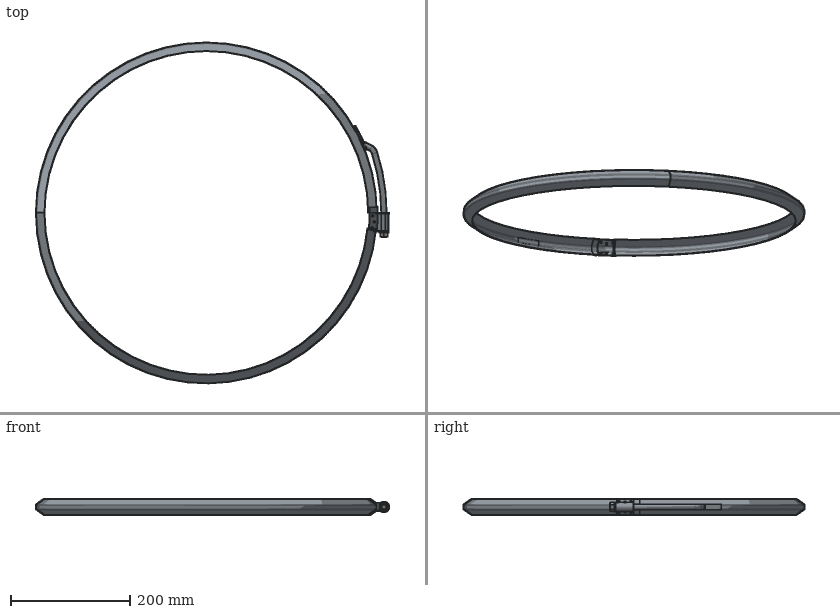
import cadquery as cq
import math

crown_radius = 286.235
ring_height = 28.24
ring_thickness = 1.2
crown_half_width = 2.7
bend_outer_radius = 2.35
bend_angle = 54.5
seam_angle = 180.0
upper_half_end_y = 0.0
lower_half_end_y = -27.0

saddle_thickness = 1.5
saddle_radius = crown_radius + saddle_thickness
saddle_bend_radius = bend_outer_radius + saddle_thickness
saddle_top_y = 10.0
saddle_bottom_y = -29.5
spot_hole_diameter = 2.5
spot_hole_places = [(279.0, -5.0), (281.7, -15.0), (278.1, -25.0)]

overall_max_x = 306.92
flange_diameter = 17.9
flange_thickness = 1.0
barrel_diameter = 16.0
barrel_x = overall_max_x - flange_diameter / 2
barrel_top_y = 0.0
barrel_bottom_y = -31.7
barrel_wall = 1.5
neck_half_height = 7.1
neck_inner_x = 281.0
window_edge_x = barrel_x + 2.0

rod_diameter = 9.5
thread_diameter = 8.0
rod_bow_radius = 330.0
rod_bow_angle = 17.8
elbow_radius = 14.0
elbow_end_angle = 62.0
stub_length = 14.0
tail_thickness = 3.5
tail_height = 9.0
tail_start_angle = 21.5
tail_end_angle = 30.4
bolt_tip_length = 0.6

nut_across_flats = 13.0
nut_thickness = 6.8
nut_chamfer_width = 2.6
nut_chamfer_height = 1.5
nut_blank_diameter = 17.0
washer_diameter = 16.5
washer_thickness = 1.8
nut_face_y = barrel_bottom_y - washer_thickness
nut_end_y = nut_face_y - nut_thickness


def on_circle(center, radius, angle):
    radians = math.radians(angle)
    return (center[0] + radius * math.cos(radians), center[1] + radius * math.sin(radians))


def mirrored(point):
    return (point[0], -point[1])


def angle_at_y(y):
    return math.degrees(math.asin(y / crown_radius))


def leg_length(bend_center, bend_radius):
    """Length of the straight leg that ends at half the ring height."""
    rise = ring_height / 2 - on_circle(bend_center, bend_radius, bend_angle)[1]
    return rise / math.cos(math.radians(bend_angle))


def v_side(bend_center, bend_radius, length):
    """Crown end, bend middle, bend end and leg tip of one side of the upper half of the V."""
    bend_end = on_circle(bend_center, bend_radius, bend_angle)
    return (
        on_circle(bend_center, bend_radius, 0),
        on_circle(bend_center, bend_radius, bend_angle / 2),
        bend_end,
        on_circle(bend_end, length, bend_angle + 90),
    )


def v_sheet_section(outer_radius, thickness, bend_radius):
    """Closed outline of the V-shaped sheet in the radius-height plane."""
    bend_center = (outer_radius - bend_radius, crown_half_width)
    length = leg_length(bend_center, bend_radius)
    outer_start, outer_mid, outer_end, outer_tip = v_side(bend_center, bend_radius, length)
    inner_start, inner_mid, inner_end, inner_tip = v_side(
        bend_center, bend_radius - thickness, length
    )
    return (
        cq.Workplane("XZ")
        .moveTo(*mirrored(outer_start))
        .lineTo(*outer_start)
        .threePointArc(outer_mid, outer_end)
        .lineTo(*outer_tip)
        .lineTo(*inner_tip)
        .lineTo(*inner_end)
        .threePointArc(inner_mid, inner_start)
        .lineTo(*mirrored(inner_start))
        .threePointArc(mirrored(inner_mid), mirrored(inner_end))
        .lineTo(*mirrored(inner_tip))
        .lineTo(*mirrored(outer_tip))
        .lineTo(*mirrored(outer_end))
        .threePointArc(mirrored(outer_mid), mirrored(outer_start))
        .close()
    )


def v_filled_section(outer_radius, bend_radius):
    """Closed outline of everything inside a V, in the radius-height plane."""
    bend_center = (outer_radius - bend_radius, crown_half_width)
    length = leg_length(bend_center, bend_radius)
    start, mid, end, tip = v_side(bend_center, bend_radius, length)
    return (
        cq.Workplane("XZ")
        .moveTo(*mirrored(start))
        .lineTo(*start)
        .threePointArc(mid, end)
        .lineTo(*tip)
        .lineTo(*mirrored(tip))
        .lineTo(*mirrored(end))
        .threePointArc(mirrored(mid), mirrored(start))
        .close()
    )


def swept_about_z(section, start_angle, end_angle):
    solid = section.revolve(end_angle - start_angle, (0, 0, 0), (0, 1, 0))
    return solid.rotate((0, 0, 0), (0, 0, 1), start_angle)


def barrel_cylinder(diameter, bottom_y, top_y):
    """Cylinder on the barrel axis, which runs along Y."""
    return (
        cq.Workplane("XZ", origin=(barrel_x, bottom_y, 0))
        .circle(diameter / 2)
        .extrude(bottom_y - top_y)
    )


def box_between(x_range, y_range, z_range):
    size = [high - low for low, high in (x_range, y_range, z_range)]
    corner = (x_range[0], y_range[0], z_range[0])
    return cq.Workplane("XY").box(*size, centered=False).translate(corner)


def make_ring_half(start_angle, end_angle):
    section = v_sheet_section(crown_radius, ring_thickness, bend_outer_radius)
    return swept_about_z(section, start_angle, end_angle)


def make_saddle():
    section = v_sheet_section(saddle_radius, saddle_thickness, saddle_bend_radius)
    saddle = swept_about_z(section, angle_at_y(saddle_bottom_y), angle_at_y(saddle_top_y))
    holes = (
        cq.Workplane("XY")
        .pushPoints(spot_hole_places)
        .circle(spot_hole_diameter / 2)
        .extrude(ring_height, both=True)
    )
    return saddle.cut(holes)


def make_barrel():
    """Tube and neck, hollow between two end plates and open at the top beside the rod."""
    length = (barrel_bottom_y, barrel_top_y)
    cavity_y = (barrel_bottom_y + barrel_wall, barrel_top_y - flange_thickness)
    cavity_half_height = neck_half_height - barrel_wall

    neck = box_between((neck_inner_x, barrel_x), length, (-neck_half_height, neck_half_height))
    barrel = barrel_cylinder(barrel_diameter, *length).union(neck)
    barrel = barrel.cut(barrel_cylinder(barrel_diameter - 2 * barrel_wall, *cavity_y))
    barrel = barrel.cut(
        box_between((neck_inner_x, barrel_x), cavity_y, (-cavity_half_height, cavity_half_height))
    )
    window = box_between((neck_inner_x, window_edge_x), cavity_y, (0, barrel_diameter))
    barrel = barrel.cut(window)

    inside_saddle = v_filled_section(
        saddle_radius - saddle_thickness / 2, saddle_bend_radius - saddle_thickness / 2
    )
    reach_angle = 2 * angle_at_y(saddle_bottom_y)
    barrel = barrel.cut(swept_about_z(inside_saddle, reach_angle, -reach_angle))
    flange = barrel_cylinder(flange_diameter, cavity_y[1], barrel_top_y)
    return barrel.union(flange)


def make_latch():
    latch = make_saddle().union(make_barrel())
    return latch.cut(barrel_cylinder(rod_diameter, barrel_bottom_y, barrel_top_y))


def make_rod():
    """Round rod: straight in the barrel, then a long bow, an elbow and a short straight stub."""
    bow_center = (barrel_x - rod_bow_radius, barrel_top_y)
    bow_mid = on_circle(bow_center, rod_bow_radius, rod_bow_angle / 2)
    bow_end = on_circle(bow_center, rod_bow_radius, rod_bow_angle)
    elbow_center = on_circle(bow_end, -elbow_radius, rod_bow_angle)
    elbow_mid = on_circle(elbow_center, elbow_radius, (rod_bow_angle + elbow_end_angle) / 2)
    elbow_end = on_circle(elbow_center, elbow_radius, elbow_end_angle)
    stub_end = on_circle(elbow_end, stub_length, elbow_end_angle + 90)
    path = (
        cq.Workplane("XY")
        .moveTo(barrel_x, barrel_bottom_y)
        .lineTo(barrel_x, barrel_top_y)
        .threePointArc(bow_mid, bow_end)
        .threePointArc(elbow_mid, elbow_end)
        .lineTo(*stub_end)
    )
    return (
        cq.Workplane("XZ", origin=(barrel_x, barrel_bottom_y, 0))
        .circle(rod_diameter / 2)
        .sweep(path)
    )


def make_tail():
    section = (
        cq.Workplane("XZ")
        .moveTo(crown_radius, -tail_height / 2)
        .rect(tail_thickness, tail_height, centered=False)
    )
    return swept_about_z(section, tail_start_angle, tail_end_angle)


def make_t_bolt():
    crown_space = cq.Workplane("XY").circle(crown_radius).extrude(ring_height, both=True)
    thread = barrel_cylinder(thread_diameter, nut_end_y - bolt_tip_length, barrel_bottom_y)
    return make_rod().union(thread).cut(crown_space).union(make_tail())


def make_nut():
    hexagon = (
        cq.Workplane("XZ", origin=(barrel_x, nut_face_y, 0))
        .polygon(6, nut_across_flats, circumscribed=True)
        .extrude(nut_thickness)
    )
    chamfered_blank = (
        barrel_cylinder(nut_blank_diameter, nut_end_y, nut_face_y)
        .faces("<Y")
        .chamfer(nut_chamfer_height, nut_chamfer_width)
    )
    washer = barrel_cylinder(washer_diameter, nut_face_y, barrel_bottom_y)
    nut = hexagon.intersect(chamfered_blank).union(washer)
    return nut.cut(barrel_cylinder(thread_diameter, nut_end_y, barrel_bottom_y))


upper_ring_half = make_ring_half(angle_at_y(upper_half_end_y), seam_angle)
lower_ring_half = make_ring_half(seam_angle - 360, angle_at_y(lower_half_end_y))
latch = make_latch()
t_bolt = make_t_bolt()
nut = make_nut()

result = cq.Compound.makeCompound(
    [upper_ring_half.val(), lower_ring_half.val(), latch.val(), t_bolt.val(), nut.val()]
)